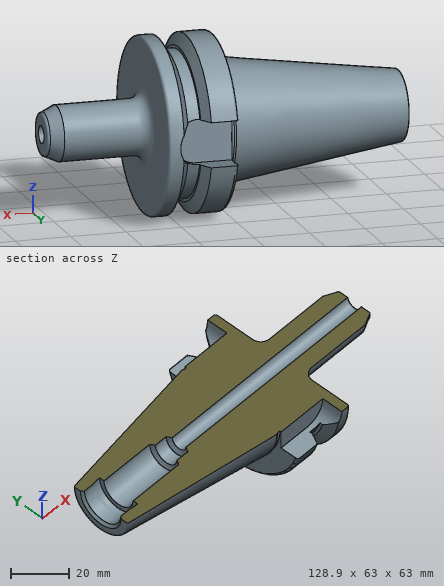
import cadquery as cq
import math

total_length = 128.9
taper_length = 65.4
neck_start = 66.0
flange_start = 67.2
groove_start = 77.0
groove_floor_start = 79.4
groove_floor_end = 84.2
groove_end = 87.0
flange_end = 92.3
pin_taper_start = 123.5

gauge_diameter = 44.5
taper_ratio = 7 / 24
neck_diameter = 44.0
flange_diameter = 63.0
groove_wall_diameter = 54.4
groove_floor_diameter = 52.2
pin_diameter = 19.9
pin_tip_diameter = 15.6

small_end_rounding = 0.8
flange_rounding = 1.0
pin_root_radius = 4.1
pin_tip_rounding = 0.9

slot_width = 16.1
slot_floor_offset = 22.5
slot_end = 88.3

entry_diameter = 19.1
pilot_diameter = 17.0
pilot_depth = 5.8
undercut_diameter = 17.7
undercut_start = 7.1
undercut_depth = 9.0
thread_diameter = 13.5
thread_depth = 32.2
drill_diameter = 10.0
drill_depth = 38.7
through_diameter = 6.3
drill_point_angle = 118.0


def cone_length(large_diameter, small_diameter):
    """Axial length of a drill-point cone between two diameters."""
    half_angle = math.radians(drill_point_angle / 2)
    return (large_diameter - small_diameter) / 2 / math.tan(half_angle)


def make_body():
    """Revolve the taper, grooved flange and pin about the X axis."""
    small_end_radius = (gauge_diameter - taper_length * taper_ratio) / 2
    flange_radius = flange_diameter / 2
    pin_radius = pin_diameter / 2
    tip_radius = pin_tip_diameter / 2
    arc_offset = 1 - math.sqrt(0.5)
    rounding_offset = flange_rounding * arc_offset
    root_offset = pin_root_radius * arc_offset
    tip_offset = pin_tip_rounding * arc_offset
    profile = (
        cq.Workplane("XY")
        .moveTo(0, 0)
        .lineTo(0, small_end_radius)
        .lineTo(taper_length, gauge_diameter / 2)
        .lineTo(neck_start, neck_diameter / 2)
        .lineTo(flange_start, neck_diameter / 2)
        .lineTo(flange_start, flange_radius - flange_rounding)
        .threePointArc(
            (flange_start + rounding_offset, flange_radius - rounding_offset),
            (flange_start + flange_rounding, flange_radius),
        )
        .lineTo(groove_start, flange_radius)
        .lineTo(groove_floor_start, groove_wall_diameter / 2)
        .lineTo(groove_floor_start, groove_floor_diameter / 2)
        .lineTo(groove_floor_end, groove_floor_diameter / 2)
        .lineTo(groove_floor_end, groove_wall_diameter / 2)
        .lineTo(groove_end, flange_radius)
        .lineTo(flange_end - flange_rounding, flange_radius)
        .threePointArc(
            (flange_end - rounding_offset, flange_radius - rounding_offset),
            (flange_end, flange_radius - flange_rounding),
        )
        .lineTo(flange_end, pin_radius + pin_root_radius)
        .threePointArc(
            (flange_end + root_offset, pin_radius + root_offset),
            (flange_end + pin_root_radius, pin_radius),
        )
        .lineTo(pin_taper_start, pin_radius)
        .lineTo(total_length - pin_tip_rounding, tip_radius)
        .threePointArc(
            (total_length - tip_offset, tip_radius - tip_offset),
            (total_length, tip_radius - pin_tip_rounding),
        )
        .lineTo(total_length, 0)
        .close()
    )
    body = profile.revolve(360, (0, 0, 0), (1, 0, 0))
    return body.faces("<X").edges().fillet(small_end_rounding)


def make_bore():
    """Stepped bore that narrows from the taper's small end to the pin tip."""
    entry_chamfer = (entry_diameter - pilot_diameter) / 2
    thread_cone_end = thread_depth + cone_length(thread_diameter, drill_diameter)
    drill_cone_end = drill_depth + cone_length(drill_diameter, through_diameter)
    stations = [
        (0, entry_diameter),
        (entry_chamfer, pilot_diameter),
        (pilot_depth, pilot_diameter),
        (undercut_start, undercut_diameter),
        (undercut_depth, undercut_diameter),
        (undercut_depth, thread_diameter),
        (thread_depth, thread_diameter),
        (thread_cone_end, drill_diameter),
        (drill_depth, drill_diameter),
        (drill_cone_end, through_diameter),
        (total_length, through_diameter),
    ]
    outline = [(0, 0)] + [(x, diameter / 2) for x, diameter in stations] + [(total_length, 0)]
    return cq.Workplane("XY").polyline(outline).close().revolve(360, (0, 0, 0), (1, 0, 0))


def make_drive_slot(side):
    """Round-ended slot cutter; side is -1 for -Y and +1 for +Y."""
    half_width = slot_width / 2
    arc_center = slot_end - half_width
    slot_depth = flange_diameter / 2 - slot_floor_offset
    return (
        cq.Workplane("XZ", origin=(0, side * slot_floor_offset, 0))
        .moveTo(flange_start, -half_width)
        .lineTo(arc_center, -half_width)
        .threePointArc((slot_end, 0), (arc_center, half_width))
        .lineTo(flange_start, half_width)
        .close()
        .extrude(-side * slot_depth)
    )


result = make_body().cut(make_bore())
for side in (-1, 1):
    result = result.cut(make_drive_slot(side))